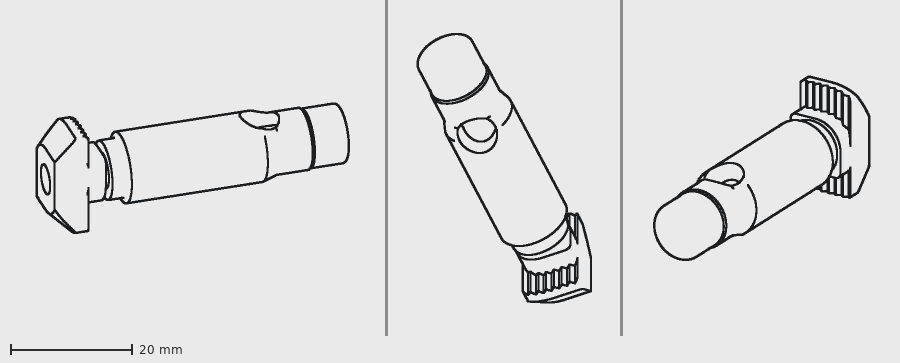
import cadquery as cq
import math

length = 51.0
back_y = length / 2
front_y = -length / 2

head_radius = 5.0
head_length = 6.0
head_edge_radius = 0.5
shank_radius = 3.0
tail_radius = 2.5

collar_radius = 5.2
collar_chamfer = 0.45
body_diameter = 12.0
nose_radius = 5.0
nose_fillet_radius = 0.45
nose_tip_length = 0.3
nose_tip_drop = 0.05
cone_start_y = 13.5
cone_end_y = 11.0
body_front_y = -12.5
sleeve_front_y = -15.5
cross_hole_radius = 3.25
cross_hole_y = 11.5

nut_width = 9.75
boss_length = 3.0
boss_corner_radius = 1.0
flange_length = 5.85
flange_height = 19.0
flange_corner_radius = 0.5
flange_bevel = 3.7
flange_back_chamfer = 0.15
groove_count = 7
groove_depth = 0.6

body_radius = body_diameter / 2
flange_radius = flange_height / 2
half_width = nut_width / 2
head_front_y = back_y - head_length
flange_back_y = front_y + flange_length
nut_back_y = flange_back_y + boss_length
bevel_radius = flange_radius - flange_bevel
bevel_back_y = front_y + flange_bevel


def turned(profile):
    """Revolve a closed profile of (y, radius) points around the Y axis."""
    return cq.Workplane("YZ").polyline(profile).close().revolve(360, (0, 0, 0), (1, 0, 0))


def bar(outline, start_y, bar_length):
    """Extrude a closed XZ outline towards +Y, starting at start_y."""
    return outline.extrude(-bar_length).translate((0, start_y, 0))


def make_bolt():
    bolt = turned([
        (back_y, 0),
        (back_y, head_radius),
        (head_front_y, head_radius),
        (head_front_y, shank_radius),
        (nut_back_y, shank_radius),
        (nut_back_y, tail_radius),
        (front_y, tail_radius),
        (front_y, 0),
    ])
    return bolt.faces(">Y").edges().fillet(head_edge_radius)


def make_sleeve():
    nose_fillet_middle = nose_fillet_radius * (1 - math.sqrt(0.5))
    profile = (
        cq.Workplane("YZ")
        .moveTo(head_front_y, shank_radius)
        .lineTo(head_front_y, collar_radius - collar_chamfer)
        .lineTo(head_front_y - collar_chamfer, collar_radius)
        .lineTo(cone_start_y, collar_radius)
        .lineTo(cone_end_y, body_radius)
        .lineTo(body_front_y, body_radius)
        .lineTo(body_front_y, nose_radius + nose_fillet_radius)
        .threePointArc(
            (body_front_y - nose_fillet_middle, nose_radius + nose_fillet_middle),
            (body_front_y - nose_fillet_radius, nose_radius),
        )
        .lineTo(sleeve_front_y + nose_tip_length, nose_radius)
        .lineTo(sleeve_front_y, nose_radius - nose_tip_drop)
        .lineTo(sleeve_front_y, shank_radius)
        .close()
    )
    sleeve = profile.revolve(360, (0, 0, 0), (1, 0, 0))
    cross_hole = (
        cq.Workplane("XY")
        .center(0, cross_hole_y)
        .circle(cross_hole_radius)
        .extrude(body_radius, both=True)
    )
    return sleeve.cut(cross_hole)


def flange_outline():
    """Rectangle of the nut width whose -X/+Z and +X/-Z corners follow a circle about the axis."""
    side_z = math.sqrt(flange_radius**2 - half_width**2)
    arc_angle = math.asin(half_width / flange_radius) / 2
    arc_x = flange_radius * math.sin(arc_angle)
    arc_z = flange_radius * math.cos(arc_angle)
    return (
        cq.Workplane("XZ")
        .moveTo(half_width, flange_radius)
        .lineTo(0, flange_radius)
        .threePointArc((-arc_x, arc_z), (-half_width, side_z))
        .lineTo(-half_width, -flange_radius)
        .lineTo(0, -flange_radius)
        .threePointArc((arc_x, -arc_z), (half_width, -side_z))
        .close()
    )


def make_bevel_envelope():
    """Bevelled flange limit: conical over the rounded quarters, a 45 degree flat over the square ones."""
    profile = [
        (front_y, 0),
        (front_y, bevel_radius),
        (bevel_back_y, flange_radius),
        (flange_back_y - flange_back_chamfer, flange_radius),
        (flange_back_y, flange_radius - flange_back_chamfer),
        (flange_back_y, 0),
    ]
    cone = turned(profile)
    upper_wedge = cq.Workplane("YZ").polyline(profile).close().extrude(half_width)
    lower_wedge = upper_wedge.rotate((0, 0, 0), (0, 1, 0), 180)
    return cone.union(upper_wedge).union(lower_wedge)


def make_serrations():
    """V grooves across the back face of the flange, running along Z."""
    pitch = nut_width / groove_count
    grooves = cq.Workplane("XY")
    for index in range(groove_count):
        left_x = -half_width + index * pitch
        grooves = grooves.add(
            cq.Workplane("XY")
            .moveTo(left_x, flange_back_y)
            .lineTo(left_x + pitch / 2, flange_back_y - groove_depth)
            .lineTo(left_x + pitch, flange_back_y)
            .close()
            .extrude(flange_radius, both=True)
        )
    return grooves.combine()


def make_boss(start_y):
    """Square boss with two opposite fully rounded corners, running back from start_y."""
    middle = half_width * math.sqrt(0.5)
    outline = (
        cq.Workplane("XZ")
        .moveTo(half_width, half_width)
        .lineTo(0, half_width)
        .threePointArc((-middle, middle), (-half_width, 0))
        .lineTo(-half_width, -half_width)
        .lineTo(0, -half_width)
        .threePointArc((middle, -middle), (half_width, 0))
        .close()
    )
    boss = bar(outline, start_y, nut_back_y - start_y)
    square_corners = cq.selectors.SumSelector(
        cq.selectors.NearestToPointSelector((half_width, start_y, half_width)),
        cq.selectors.NearestToPointSelector((-half_width, start_y, -half_width)),
    )
    return boss.edges("|Y").edges(square_corners).fillet(boss_corner_radius)


def make_nut():
    flange = bar(flange_outline(), front_y, flange_length)
    flange = flange.edges("|Y").edges("<X or >X").fillet(flange_corner_radius)
    flange = flange.intersect(make_bevel_envelope()).cut(make_serrations())
    boss = make_boss(bevel_back_y)
    tail_hole = bar(cq.Workplane("XZ").circle(tail_radius), front_y, length)
    return flange.union(boss).cut(tail_hole)


bolt = make_bolt()
sleeve = make_sleeve()
nut = make_nut()

result = cq.Compound.makeCompound([bolt.val(), sleeve.val(), nut.val()])